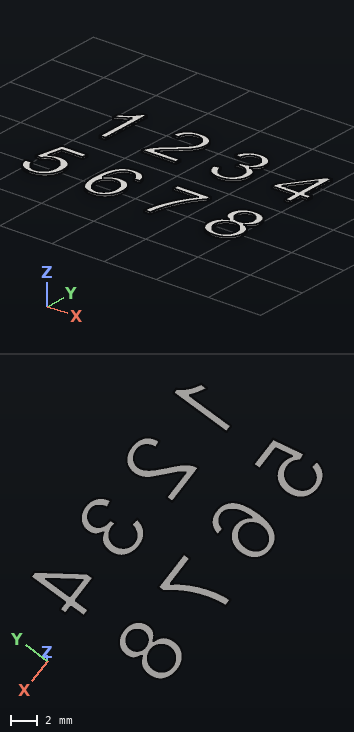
import cadquery as cq


THICKNESS = 0.2
OVERALL_WIDTH = 20.75
OVERALL_DEPTH = 13.13

ROUND_TOP = 5.02
ROUND_BOTTOM = -0.08
ARCH_UNDERSIDE = 4.52
BOWL_FLOOR = 0.42
BASELINE = 0.0
FLAT_TOP = 5.0
BAR_TOP = 4.94
BAR_UNDERSIDE = 4.34

FIVE_LEFT = 0.3
EIGHT_RIGHT = 3.57
COLUMN_COUNT = 4
COLUMN_PITCH = (OVERALL_WIDTH + FIVE_LEFT - EIGHT_RIGHT) / (COLUMN_COUNT - 1)
ROW_PITCH = OVERALL_DEPTH - (ROUND_TOP - ROUND_BOTTOM)


def line(end):
    """Straight step of an outline."""
    return [end]


def curve(start_handle, end_handle, end):
    """Round step of an outline, a cubic curve pulled towards two handles."""
    return [start_handle, end_handle, end]


def outline(start, *steps):
    """Closed outline that follows the steps from the start point."""
    path = cq.Workplane("XY").moveTo(*start)
    for step in steps:
        if len(step) == 1:
            path = path.lineTo(*step[0])
        else:
            path = path.bezier(step, includeCurrent=True)
    if steps[-1][-1] == start:
        return path.wire()
    return path.close()


def plate(shape):
    """Flat plate of the common thickness over a closed outline."""
    return shape.extrude(THICKNESS)


def digit_one():
    face = outline(
        (2.6, BASELINE),
        line((2.0, BASELINE)),
        line((2.0, 3.92)),
        curve((1.68, 3.63), (1.15, 3.32), (0.77, 3.17)),
        line((0.77, 3.75)),
        curve((1.45, 4.09), (2.0, 4.59), (2.2, ROUND_TOP)),
        line((2.6, ROUND_TOP)),
    )
    return plate(face)


def digit_two():
    face = outline(
        (3.5, 0.58),
        line((3.5, BASELINE)),
        line((0.2, BASELINE)),
        curve((0.2, 0.15), (0.23, 0.3), (0.3, 0.44)),
        curve((0.45, 0.87), (0.8, 1.29), (1.5, 1.85)),
        curve((2.55, 2.72), (2.88, 3.17), (2.88, 3.65)),
        curve((2.88, 4.13), (2.51, ARCH_UNDERSIDE), (1.93, ARCH_UNDERSIDE)),
        curve((1.35, ARCH_UNDERSIDE), (0.95, 4.15), (0.95, 3.5)),
        line((0.33, 3.57)),
        curve((0.42, 4.52), (1.0, ROUND_TOP), (1.95, ROUND_TOP)),
        curve((2.93, ROUND_TOP), (3.5, 4.42), (3.5, 3.63)),
        curve((3.5, 3.24), (3.36, 2.86), (2.99, 2.43)),
        curve((2.78, 2.22), (2.47, 1.93), (2.03, 1.55)),
        curve((1.3, 0.95), (1.2, 0.8), (1.05, 0.58)),
    )
    return plate(face)


def digit_three():
    face = outline(
        (0.3, 1.33),
        line((0.91, 1.41)),
        curve((1.05, 0.7), (1.4, BOWL_FLOOR), (1.89, BOWL_FLOOR)),
        curve((2.47, BOWL_FLOOR), (2.93, 0.87), (2.93, 1.47)),
        curve((2.93, 2.03), (2.51, 2.43), (1.93, 2.43)),
        curve((1.83, 2.43), (1.68, 2.4), (1.51, 2.37)),
        line((1.58, 2.9)),
        line((1.68, 2.9)),
        curve((2.18, 2.9), (2.7, 3.15), (2.7, 3.74)),
        curve((2.7, 4.2), (2.37, ARCH_UNDERSIDE), (1.87, ARCH_UNDERSIDE)),
        curve((1.4, ARCH_UNDERSIDE), (1.05, 4.21), (0.98, 3.61)),
        line((0.35, 3.74)),
        curve((0.5, 4.55), (1.05, ROUND_TOP), (1.87, ROUND_TOP)),
        curve((2.7, ROUND_TOP), (3.32, 4.46), (3.32, 3.71)),
        curve((3.32, 3.3), (3.1, 2.93), (2.64, 2.72)),
        curve((3.24, 2.57), (3.57, 2.12), (3.57, 1.47)),
        curve((3.57, 0.6), (2.86, ROUND_BOTTOM), (1.89, ROUND_BOTTOM)),
        curve((1.0, ROUND_BOTTOM), (0.37, 0.48), (0.3, 1.33)),
    )
    return plate(face)


def digit_four():
    face = outline(
        (2.26, BASELINE),
        line((2.26, 1.2)),
        line((0.08, 1.2)),
        line((0.08, 1.76)),
        line((2.37, FLAT_TOP)),
        line((2.86, FLAT_TOP)),
        line((2.86, 1.76)),
        line((3.55, 1.76)),
        line((3.55, 1.2)),
        line((2.86, 1.2)),
        line((2.86, BASELINE)),
    )
    counter = outline(
        (2.26, 1.76),
        line((2.26, 4.0)),
        line((0.68, 1.76)),
    )
    return plate(face).cut(plate(counter))


def digit_five():
    face = outline(
        (FIVE_LEFT, 1.3),
        line((0.93, 1.37)),
        curve((1.04, 0.73), (1.41, BOWL_FLOOR), (1.89, BOWL_FLOOR)),
        curve((2.5, BOWL_FLOOR), (2.95, 0.9), (2.95, 1.64)),
        curve((2.95, 2.35), (2.53, 2.78), (1.89, 2.78)),
        curve((1.5, 2.78), (1.16, 2.57), (0.98, 2.28)),
        line((0.4, 2.37)),
        line((0.9, BAR_TOP)),
        line((3.36, BAR_TOP)),
        line((3.36, BAR_UNDERSIDE)),
        line((1.37, BAR_UNDERSIDE)),
        line((1.1, 3.0)),
        curve((1.41, 3.22), (1.72, 3.32), (2.05, 3.32)),
        curve((2.93, 3.32), (3.61, 2.65), (3.61, 1.7)),
        curve((3.61, 0.79), (3.0, ROUND_BOTTOM), (1.89, ROUND_BOTTOM)),
        curve((0.98, ROUND_BOTTOM), (0.37, 0.48), (FIVE_LEFT, 1.3)),
    )
    return plate(face)


def digit_six():
    face = outline(
        (3.49, 3.78),
        line((2.86, 3.74)),
        curve((2.75, 4.21), (2.51, ARCH_UNDERSIDE), (2.01, ARCH_UNDERSIDE)),
        curve((1.83, ARCH_UNDERSIDE), (1.65, 4.46), (1.51, 4.35)),
        curve((1.12, 4.07), (0.9, 3.57), (0.87, 2.57)),
        curve((1.16, 3.03), (1.62, 3.24), (2.1, 3.24)),
        curve((2.9, 3.24), (3.57, 2.6), (3.57, 1.62)),
        curve((3.57, 0.7), (2.97, ROUND_BOTTOM), (2.0, ROUND_BOTTOM)),
        curve((0.98, ROUND_BOTTOM), (0.27, 0.6), (0.27, 2.35)),
        curve((0.27, 4.25), (1.0, ROUND_TOP), (2.05, ROUND_TOP)),
        curve((2.85, ROUND_TOP), (3.38, 4.56), (3.49, 3.78)),
    )
    counter = outline(
        (0.98, 1.62),
        curve((0.98, 0.95), (1.4, BOWL_FLOOR), (2.0, BOWL_FLOOR)),
        curve((2.51, BOWL_FLOOR), (2.95, 0.87), (2.95, 1.58)),
        curve((2.95, 2.28), (2.53, 2.7), (1.97, 2.7)),
        curve((1.41, 2.7), (0.98, 2.26), (0.98, 1.62)),
    )
    return plate(face).cut(plate(counter))


def digit_seven():
    face = outline(
        (0.33, BAR_UNDERSIDE),
        line((0.33, BAR_TOP)),
        line((3.57, BAR_TOP)),
        line((3.57, 4.46)),
        curve((2.55, 3.38), (1.76, 1.58), (1.65, BASELINE)),
        line((1.04, BASELINE)),
        curve((1.05, 1.3), (1.75, 3.17), (2.78, BAR_UNDERSIDE)),
    )
    return plate(face)


def digit_eight():
    face = outline(
        (1.25, 2.72),
        curve((0.73, 2.9), (0.48, 3.25), (0.48, 3.74)),
        curve((0.48, 4.46), (1.04, ROUND_TOP), (1.93, ROUND_TOP)),
        curve((2.8, ROUND_TOP), (3.38, 4.45), (3.38, 3.71)),
        curve((3.38, 3.25), (3.13, 2.9), (2.64, 2.72)),
        curve((3.25, 2.51), (EIGHT_RIGHT, 2.05), (EIGHT_RIGHT, 1.43)),
        curve((EIGHT_RIGHT, 0.58), (2.93, ROUND_BOTTOM), (1.93, ROUND_BOTTOM)),
        curve((0.93, ROUND_BOTTOM), (0.3, 0.55), (0.3, 1.45)),
        curve((0.3, 2.1), (0.62, 2.55), (1.25, 2.72)),
    )
    upper_counter = outline(
        (1.12, 3.75),
        curve((1.12, 3.28), (1.45, 2.95), (1.93, 2.95)),
        curve((2.4, 2.95), (2.74, 3.28), (2.74, 3.71)),
        curve((2.74, 4.17), (2.39, ARCH_UNDERSIDE), (1.93, ARCH_UNDERSIDE)),
        curve((1.45, ARCH_UNDERSIDE), (1.12, 4.17), (1.12, 3.75)),
    )
    lower_counter = outline(
        (0.91, 1.45),
        curve((0.91, 0.87), (1.33, BOWL_FLOOR), (1.93, BOWL_FLOOR)),
        curve((2.53, BOWL_FLOOR), (2.95, 0.83), (2.95, 1.43)),
        curve((2.95, 2.01), (2.51, 2.45), (1.9, 2.45)),
        curve((1.33, 2.45), (0.91, 2.01), (0.91, 1.45)),
    )
    return plate(face).cut(plate(upper_counter)).cut(plate(lower_counter))


rows = [
    [digit_five, digit_six, digit_seven, digit_eight],
    [digit_one, digit_two, digit_three, digit_four],
]

numerals = []
for row_index, row in enumerate(rows):
    for column_index, digit in enumerate(row):
        place = (column_index * COLUMN_PITCH, row_index * ROW_PITCH, 0)
        numeral = digit().translate(place)
        numerals.append(numeral.val())

result = cq.Compound.makeCompound(numerals)